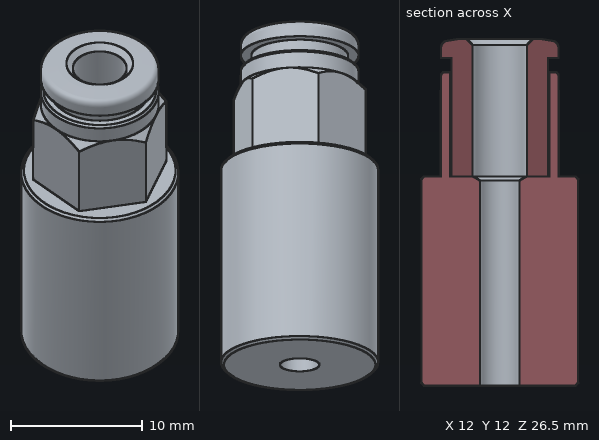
import cadquery as cq
import math

total_height = 26.5
barrel_height = 16.0
hex_top = 22.5
collar_top = 23.95
flange_bottom = 25.02
socket_floor = 16.0

barrel_diameter = 12.0
barrel_chamfer = 0.2
hex_across_flats = 9.0
collar_diameter = hex_across_flats
collar_chamfer = 0.19
hex_bevel_angle = 43.0
socket_diameter = 7.6
through_diameter = 3.0
seat_cone_depth = 0.32

flange_diameter = 9.0
neck_diameter = 7.4
sleeve_bore_diameter = 4.1
mouth_diameter = 5.1
mouth_depth = 0.48
rim_diameter = 6.4
crown_drop = 0.15
crown_diameter = 8.27
shoulder_drop = 0.7


def cylinder(diameter, bottom, top):
    return cq.Workplane("XY").workplane(offset=bottom).circle(diameter / 2).extrude(top - bottom)


def make_hex():
    """Hexagon with corners on X, its top corners cut by a cone that meets the collar."""
    corner_radius = hex_across_flats / math.sqrt(3)
    prism = (
        cq.Workplane("XY")
        .workplane(offset=barrel_height)
        .polygon(6, 2 * corner_radius)
        .extrude(hex_top - barrel_height)
    )
    slope = math.tan(math.radians(hex_bevel_angle))
    cone_base_radius = collar_diameter / 2 + (hex_top - barrel_height) / slope
    bevel_cone = (
        cq.Workplane("XZ")
        .moveTo(0, barrel_height)
        .lineTo(cone_base_radius, barrel_height)
        .lineTo(collar_diameter / 2, hex_top)
        .lineTo(0, hex_top)
        .close()
        .revolve(360, (0, 0, 0), (0, 1, 0))
    )
    return prism.intersect(bevel_cone)


def make_seat_cone():
    """Conical entry of the through hole, as wide as the sleeve bore at the socket floor."""
    return (
        cq.Workplane("XZ")
        .moveTo(0, socket_floor - seat_cone_depth)
        .lineTo(through_diameter / 2, socket_floor - seat_cone_depth)
        .lineTo(sleeve_bore_diameter / 2, socket_floor)
        .lineTo(0, socket_floor)
        .close()
        .revolve(360, (0, 0, 0), (0, 1, 0))
    )


def make_body():
    """Barrel, hexagon and collar, bored through and counterbored for the sleeve."""
    barrel = cylinder(barrel_diameter, 0, barrel_height).faces("<Z or >Z").chamfer(barrel_chamfer)
    collar = cylinder(collar_diameter, hex_top, collar_top).faces(">Z").chamfer(collar_chamfer)
    through_hole = cylinder(through_diameter, 0, collar_top)
    sleeve_socket = cylinder(socket_diameter, socket_floor, collar_top)
    outside = barrel.union(make_hex()).union(collar)
    return outside.cut(through_hole).cut(sleeve_socket).cut(make_seat_cone())


def make_sleeve():
    """Flanged sleeve with a crowned, rounded top and a tapered mouth."""
    flange_radius = flange_diameter / 2
    neck_radius = neck_diameter / 2
    bore_radius = sleeve_bore_diameter / 2
    crown_radius = crown_diameter / 2
    crown_level = total_height - crown_drop
    shoulder_level = total_height - shoulder_drop
    profile = (
        cq.Workplane("XZ")
        .moveTo(bore_radius, socket_floor)
        .lineTo(neck_radius, socket_floor)
        .lineTo(neck_radius, flange_bottom)
        .lineTo(flange_radius, flange_bottom)
        .lineTo(flange_radius, shoulder_level)
        .tangentArcPoint((crown_radius, crown_level), relative=False)
        .lineTo(rim_diameter / 2, total_height)
        .lineTo(mouth_diameter / 2, total_height)
        .lineTo(bore_radius, total_height - mouth_depth)
        .close()
    )
    return profile.revolve(360, (0, 0, 0), (0, 1, 0))


body = make_body()
sleeve = make_sleeve()
result = cq.Compound.makeCompound([body.val(), sleeve.val()])